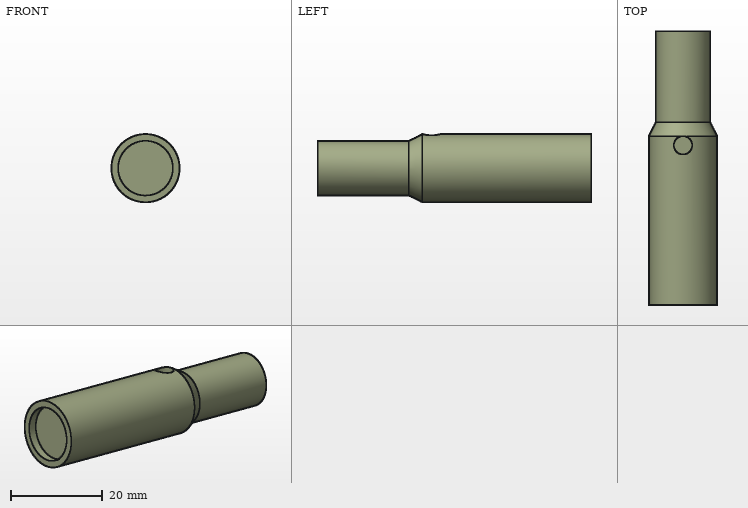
import cadquery as cq

length = 60.0
body_diameter = 15.0
neck_diameter = 12.0
neck_length = 20.0
cone_length = 3.0
recess_diameter = 12.0
recess_depth = 2.0
side_hole_diameter = 4.0
side_hole_depth = 1.75

front_y = -length / 2
back_y = length / 2
cone_end_y = back_y - neck_length
cone_start_y = cone_end_y - cone_length
body_radius = body_diameter / 2
neck_radius = neck_diameter / 2
side_hole_y = cone_start_y - side_hole_diameter / 2


def stepped_pin():
    """Body, cone and neck revolved about the Y axis."""
    return (
        cq.Workplane("XY")
        .moveTo(0, front_y)
        .lineTo(body_radius, front_y)
        .lineTo(body_radius, cone_start_y)
        .lineTo(neck_radius, cone_end_y)
        .lineTo(neck_radius, back_y)
        .lineTo(0, back_y)
        .close()
        .revolve(360, (0, 0, 0), (0, 1, 0))
    )


def end_recess():
    """Shallow round recess in the wide end."""
    recess_plane = cq.Plane(origin=(0, front_y, 0), xDir=(1, 0, 0), normal=(0, 1, 0))
    return cq.Workplane(recess_plane).circle(recess_diameter / 2).extrude(recess_depth)


def side_hole():
    """Blind round hole entering the body from +Z."""
    return (
        cq.Workplane("XY", origin=(0, side_hole_y, body_radius))
        .circle(side_hole_diameter / 2)
        .extrude(-side_hole_depth)
    )


result = stepped_pin().cut(end_recess()).cut(side_hole())